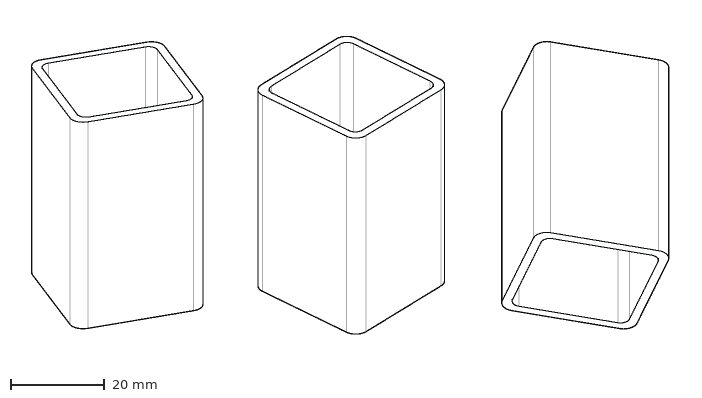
import cadquery as cq

length = 50.0
width = 30.0
wall = 2.0
outer_radius = 3.0
inner_radius = 2.0


def rounded_bar(side, corner_radius):
    """Square bar along Z with rounded vertical edges."""
    return cq.Workplane("XY").rect(side, side).extrude(length).edges("|Z").fillet(corner_radius)


outer_bar = rounded_bar(width, outer_radius)
bore = rounded_bar(width - 2 * wall, inner_radius)

result = outer_bar.cut(bore)